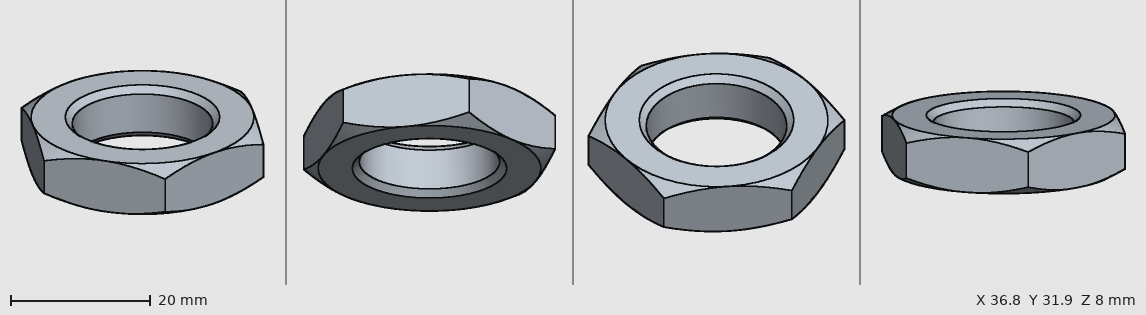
import cadquery as cq
import math

hexagon_sides = 6
across_flats = 31.9
thickness = 8.0
crown_diameter = 31.88
crown_angle = 30.0
crown_clearance = 1.0
bore_diameter = 20.1
countersink_diameter = 22.1
countersink_angle = 45.0

half_thickness = thickness / 2
across_corners = across_flats / math.cos(math.pi / hexagon_sides)


def hexagon_blank():
    """Hexagonal prism with two corners on the X axis."""
    return (
        cq.Workplane("XY")
        .polygon(hexagon_sides, across_corners)
        .extrude(half_thickness, both=True)
    )


def double_coned_solid(end_radius, middle_radius, cone_angle):
    """Solid of revolution about Z: a cylinder with a cone running to each end face."""
    cone_height = abs(middle_radius - end_radius) * math.tan(math.radians(cone_angle))
    middle_height = half_thickness - cone_height
    return (
        cq.Workplane("XZ")
        .polyline([
            (0, -half_thickness),
            (end_radius, -half_thickness),
            (middle_radius, -middle_height),
            (middle_radius, middle_height),
            (end_radius, half_thickness),
            (0, half_thickness),
        ])
        .close()
        .revolve(360, (0, 0, 0), (0, 1, 0))
    )


def crown_envelope():
    """Disc that bevels the hexagon corners at both ends."""
    rim_radius = across_corners / 2 + crown_clearance
    return double_coned_solid(crown_diameter / 2, rim_radius, crown_angle)


def bore_cutter():
    """Through bore with a conical countersink at both ends."""
    return double_coned_solid(countersink_diameter / 2, bore_diameter / 2, countersink_angle)


result = hexagon_blank().intersect(crown_envelope()).cut(bore_cutter())